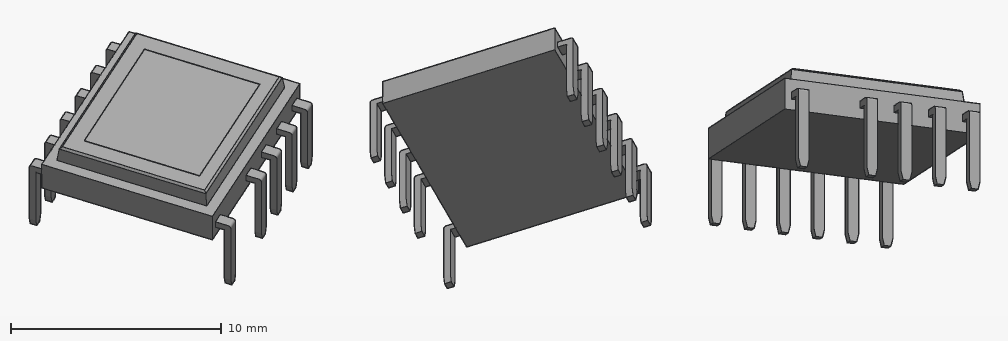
import cadquery as cq

body_length_x = 8.89
body_width_y = 10.16
body_bottom_z = 3.0
body_top_z = 4.53

lid_length_x = 7.8
lid_width_y = 9.06
lid_top_z = 5.32
lid_draft_angle = 7.0
lid_bevel = 0.1

panel_length_x = 6.0
panel_width_y = 7.0
panel_center_x = 0.085
panel_center_y = -0.04
overall_height = 5.35

pin_span_x = 10.5
pin_thickness = 0.35
pin_width = 0.56
pin_top_z = 3.88
pin_bend_radius = 0.15
pin_embed_depth = 0.3
pin_tip_width = 0.35
pin_tip_length = 0.4
pin_pitch = 1.78
pin_positions = 6
left_row = range(pin_positions)
missing_right_position = 1
right_row = [position for position in left_row if position != missing_right_position]


def make_body():
    height = body_top_z - body_bottom_z
    return (
        cq.Workplane("XY", origin=(0, 0, body_bottom_z))
        .rect(body_length_x, body_width_y)
        .extrude(height)
    )


def make_lid():
    return (
        cq.Workplane("XY", origin=(0, 0, body_top_z))
        .rect(lid_length_x, lid_width_y)
        .extrude(lid_top_z - body_top_z, taper=lid_draft_angle)
        .faces(">Z")
        .edges()
        .chamfer(lid_bevel)
    )


def make_panel():
    return (
        cq.Workplane("XY", origin=(panel_center_x, panel_center_y, lid_top_z))
        .rect(panel_length_x, panel_width_y)
        .extrude(overall_height - lid_top_z)
    )


def make_left_pin():
    """One pin on the -X side, centred on Y = 0, with its tip at Z = 0."""
    outer_x = -pin_span_x / 2
    inner_x = outer_x + pin_thickness
    embedded_x = -body_length_x / 2 + pin_embed_depth
    under_z = pin_top_z - pin_thickness
    bent_strip = (
        cq.Workplane("XZ")
        .moveTo(embedded_x, pin_top_z)
        .lineTo(outer_x + pin_bend_radius, pin_top_z)
        .radiusArc((outer_x, pin_top_z - pin_bend_radius), -pin_bend_radius)
        .lineTo(outer_x, 0)
        .lineTo(inner_x, 0)
        .lineTo(inner_x, under_z)
        .lineTo(embedded_x, under_z)
        .close()
        .extrude(pin_width / 2, both=True)
    )
    tapered_outline = (
        cq.Workplane("YZ", origin=(outer_x, 0, 0))
        .moveTo(-pin_tip_width / 2, 0)
        .lineTo(pin_tip_width / 2, 0)
        .lineTo(pin_width / 2, pin_tip_length)
        .lineTo(pin_width / 2, pin_top_z)
        .lineTo(-pin_width / 2, pin_top_z)
        .lineTo(-pin_width / 2, pin_tip_length)
        .close()
        .extrude(embedded_x - outer_x)
    )
    return bent_strip.intersect(tapered_outline)


def pin_y(position):
    return (position - (pin_positions - 1) / 2) * pin_pitch


result = make_body().union(make_lid()).union(make_panel())

left_pin = make_left_pin()
right_pin = left_pin.mirror("YZ")
for pin, row in ((left_pin, left_row), (right_pin, right_row)):
    for position in row:
        result = result.union(pin.translate((0, pin_y(position), 0)))